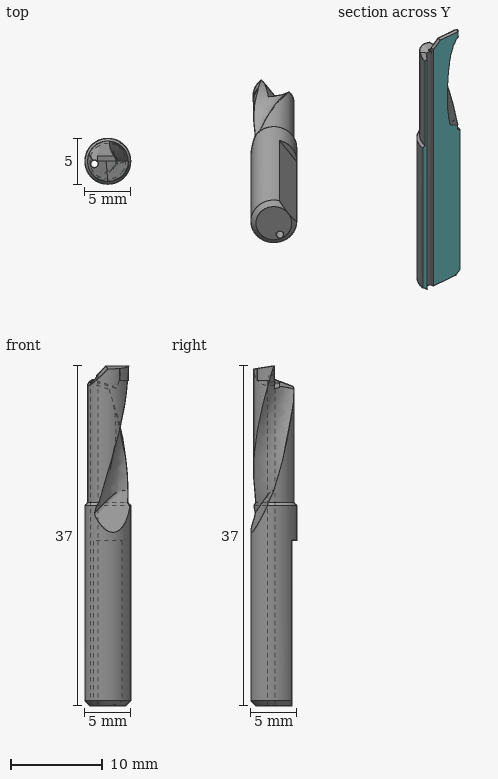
import cadquery as cq
import math

total_length = 37.0
shank_diameter = 5.0
neck_diameter = 4.4
shank_length = 21.8
shoulder_angle = 45.0
end_chamfer = 0.55

shank_radius = shank_diameter / 2
neck_radius = neck_diameter / 2
shoulder_height = (shank_radius - neck_radius) * math.tan(math.radians(shoulder_angle))
oversize = 2 * total_length

flat_offset = 1.95
flat_length = 18.0

flute_start = 16.0
twist_per_mm = 7.8
flute_angle = 53.0
flute_hollow_radius = 3.58
flute_core_radius = 0.87

runout_point = (0.33, -2.48, 18.9)
runout_slope_x = -0.508
runout_slope_y = 2.2

bevel_point = (0.0, -1.16, 22.0)
bevel_slope_x = -1.46
bevel_slope_y = 3.6

end_relief_angle = 9.0
facet_start_x = -0.19
facet_slope_x = 1.05
facet_slope_y = 0.25

gash_face_y = 0.05
gash_depth = 1.45
back_slope = 0.38
gash_point = (-1.13, 0.64, 35.3)
gash_slope_x = -0.3
gash_slope_y = -0.3
groove_start_x = -1.1
groove_width = 0.55
groove_depth = 0.15

land_radius = 2.28
land_height = 1.6
land_sweep = 54.0

coolant_diameter = 0.8
coolant_centre = (-1.46, -0.28)


def block_above_plane(point, slope_x, slope_y):
    """Large block above the plane z = point z + slope_x * dx + slope_y * dy."""
    plane = cq.Plane(origin=point, xDir=(1, 0, slope_x), normal=(-slope_x, -slope_y, 1))
    return cq.Workplane(plane).rect(2 * oversize, 2 * oversize).extrude(oversize)


def body():
    profile = [
        (0, 0),
        (shank_radius - end_chamfer, 0),
        (shank_radius, end_chamfer),
        (shank_radius, shank_length),
        (neck_radius, shank_length + shoulder_height),
        (neck_radius, total_length),
        (0, total_length),
    ]
    turned = cq.Workplane("XZ").polyline(profile).close().revolve(360, (0, 0), (0, 1))
    land = (
        cq.Workplane("XZ", origin=(0, 0, total_length - land_height))
        .rect(land_radius, land_height, centered=False)
        .revolve(land_sweep, (0, 0), (0, -1))
    )
    return turned.union(land)


def clamping_flat():
    return (
        cq.Workplane("XY", origin=(0, flat_offset + oversize / 2, 0))
        .box(oversize, oversize, flat_length, centered=(True, True, False))
    )


def flute():
    twist = twist_per_mm * (total_length - flute_start)
    swept = (
        cq.Workplane("XY", origin=(0, 0, flute_start))
        .transformed(rotate=(0, 0, flute_angle - twist))
        .moveTo(flute_core_radius + flute_hollow_radius, 0)
        .circle(flute_hollow_radius)
        .twistExtrude(total_length - flute_start, twist)
    )
    end_face = block_above_plane(runout_point, runout_slope_x, runout_slope_y)
    end_bevel = block_above_plane(bevel_point, bevel_slope_x, bevel_slope_y)
    return swept.intersect(end_face, clean=False).intersect(end_bevel, clean=False)


def tip_waste():
    """Material above the end relief and above the facet."""
    relief_slope = math.tan(math.radians(end_relief_angle))
    relief = block_above_plane((0, 0, total_length), 0, relief_slope)
    facet = block_above_plane((facet_start_x, 0, total_length), facet_slope_x, facet_slope_y)
    return relief.union(facet)


def gash():
    """Pocket behind the upright face of the tip, with two inclined floors and a groove."""
    back_floor = block_above_plane((0, 0, total_length - gash_depth), 0, -back_slope)
    front_floor = block_above_plane(gash_point, gash_slope_x, gash_slope_y)
    behind_face = (
        cq.Workplane("XY", origin=(0, gash_face_y + oversize / 2, total_length))
        .box(oversize, oversize, oversize)
    )
    groove_bottom = (groove_start_x, gash_face_y, gash_point[2] - groove_depth)
    groove_strip = (
        cq.Workplane("XY", origin=(groove_start_x, gash_face_y, 0))
        .box(oversize, groove_width, oversize, centered=False)
    )
    groove = block_above_plane(groove_bottom, gash_slope_x, 0).intersect(groove_strip)
    return back_floor.union(front_floor).intersect(behind_face).union(groove)


def coolant_hole():
    return cq.Workplane("XY").center(*coolant_centre).circle(coolant_diameter / 2).extrude(total_length)


result = body()
for cutter in (clamping_flat(), flute(), tip_waste(), gash(), coolant_hole()):
    result = result.cut(cutter, clean=False)